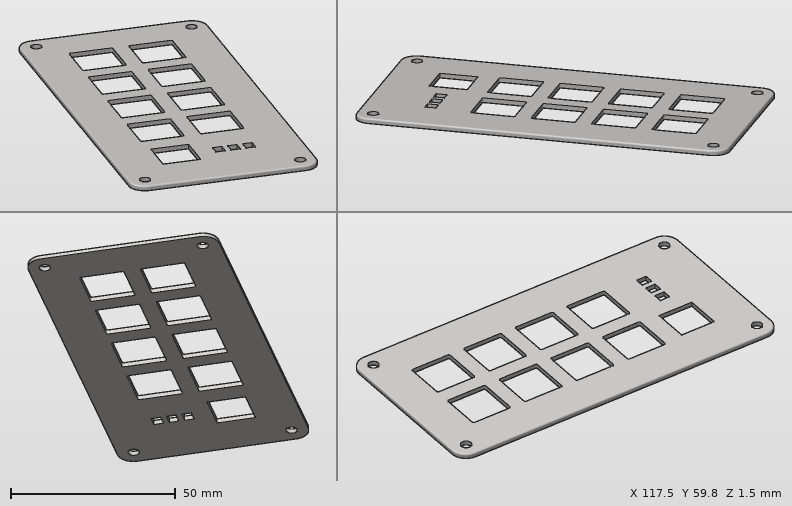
import cadquery as cq

length = 117.5
width = 59.8
thickness = 1.5
corner_radius = 5.0
edge_fillet = 0.6
cutter_height = 3 * thickness

screw_diameter = 3.4
screw_inset = 5.2
screw_spacing_x = length - 2 * screw_inset
screw_spacing_y = width - 2 * screw_inset

key_columns = 4
key_rows = 2
key_size = 13.9
key_pitch = 19.0
key_corner_radius = 0.5
key_grid_center = (-10.1, -0.5)

encoder_size = 12.0
encoder_center = (38.0, -9.9)

window_count = 3
window_length = 3.4
window_width = 2.9
window_pitch = 4.8
window_column_center = (38.3, 8.6)


def through_box(size_x, size_y):
    """Cutting block, centred on the origin, that passes through the plate."""
    return cq.Workplane("XY").box(size_x, size_y, cutter_height)


def make_plate():
    """Rounded rectangle with its top edge rounded over."""
    blank = cq.Workplane("XY").box(length, width, thickness)
    rounded = blank.edges("|Z").fillet(corner_radius)
    return rounded.faces(">Z").edges().fillet(edge_fillet)


def cut_screw_holes(plate):
    corners = plate.faces(">Z").workplane(origin=(0, 0, 0))
    corners = corners.rect(screw_spacing_x, screw_spacing_y, forConstruction=True).vertices()
    return corners.hole(screw_diameter)


def cut_keys(plate):
    key = through_box(key_size, key_size).edges("|Z").fillet(key_corner_radius)
    center_x, center_y = key_grid_center
    for column in range(key_columns):
        for row in range(key_rows):
            x = center_x + (column - (key_columns - 1) / 2) * key_pitch
            y = center_y + (row - (key_rows - 1) / 2) * key_pitch
            plate = plate.cut(key.translate((x, y, 0)))
    return plate


def cut_encoder(plate):
    return plate.cut(through_box(encoder_size, encoder_size).translate((*encoder_center, 0)))


def cut_windows(plate):
    window = through_box(window_length, window_width)
    center_x, center_y = window_column_center
    for index in range(window_count):
        y = center_y + (index - (window_count - 1) / 2) * window_pitch
        plate = plate.cut(window.translate((center_x, y, 0)))
    return plate


result = make_plate()
result = cut_screw_holes(result)
result = cut_keys(result)
result = cut_encoder(result)
result = cut_windows(result)